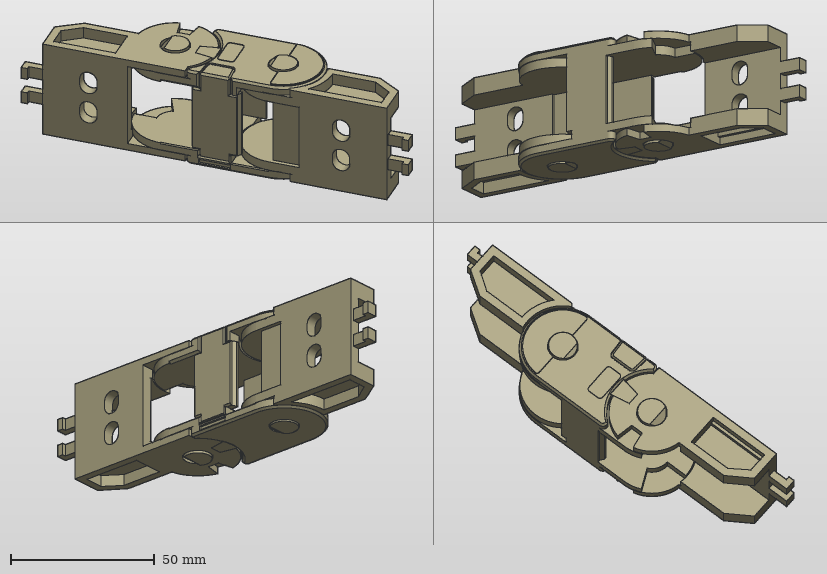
import cadquery as cq
import math

PITCH = 40.0
MID_X = PITCH / 2

LINK_RADIUS = 15.25
BRACKET_RADIUS = 15.0
GAP = 0.5
FIT_RADIUS = LINK_RADIUS + GAP

INNER_Z = 12.3
LOWER_INNER_Z = -12.7
LAP_Z = 15.7
LEFT_TOP_Z = 18.4
RIGHT_TOP_Z = 18.7
LINK_TOP_Z = 18.8
LINK_BOTTOM_Z = -19.2
CUT_Z = 25.0

BRACKET_END = 63.75
WEB_THICKNESS = 4.2
SHOULDER_Y = 3.1
END_CORNER_Y = -2.8
SHOULDER_X = 54.75
POCKET_WALL = 3.0
POCKET_DEPTH = 4.2
POCKET_CORNER_Y = -4.5
POCKET_SHOULDER_X = 54.1
LEFT_POCKET_END = -17.8
LEFT_EAR_CORNER_X = 9.0
LEFT_WINDOW_X = -12.3
RIGHT_RECESS_X = 47.5
RIGHT_RECESS_CORNER = 1.1
WINDOW_START_X = 41.0
WINDOW_END_X = 51.3
WINDOW_RECESS = 1.6
WINDOW_PLATE = 1.5

SLOT_OFFSET_X = 46.8
SLOT_OFFSET_Z = 6.0
SLOT_LENGTH = 8.6
SLOT_WIDTH = 6.4

HOOK_LENGTH = 7.95
HOOK_TIP_LENGTH = 2.35
HOOK_UNDERCUT_Y = -13.6
HOOK_OUTER_Z = 7.2
HOOK_INNER_Z = 2.75

PIN_RADIUS = 5.0
PIN_HOLE_RADIUS = 5.3
LEFT_PIN_TOP_Z = 19.2
RIGHT_PIN_TOP_Z = 19.7
LEFT_RAMP_X = -2.6
RIGHT_RAMP_X = -3.4
LEFT_RAMP_DROP = 2.0
RIGHT_RAMP_DROP = 0.8
STOP_INNER_R = 8.3
STOP_INNER_HALF = 2.3
STOP_OUTER_HALF = 3.7
TONGUE_HUB_RADIUS = 6.9
TONGUE_CUT_START = 115.0
TONGUE_CUT_END = 180.0

LINK_BODY_START_X = 9.3
LINK_CORNER = 1.8
UPPER_INNER_END_X = 28.2
LOWER_INNER_END_X = 26.2
LEAD_IN = 0.9
PLATE_LEAD_IN = 0.4
BAR_THICKNESS = 3.15
BAR_TAPER_OUTER_Y = 14.35
BAR_TAPER_INNER_Y = 13.0
BAR_OUTER_HALF = 8.2
BAR_INNER_HALF = 9.2
LINK_CHAMFER = 0.8
DISC_RADIUS = 14.0
DISC_TOP_Z = 19.2
DISC_CORNER = 1.0
PAD_LENGTH = 11.9
PAD_WIDTH = 6.2
PAD_CORNER = 1.2
PAD_DEPTH = 0.2
PAD_Y = 1.65
GROOVE_DEPTH = 0.8
GROOVE_Z = -17.3
GROOVE_HEIGHT = 1.6
GROOVE_HALF = 5.9

HOOK_TAB_OUTER_HALF = 5.8
HOOK_TAB_INNER_HALF = 5.2
HOOK_TAB_TIP_Y = -7.5
HOOK_TAB_CORNER = 1.6
HOOK_TAB_CHAMFER = 0.8
FOOT_HALF = 5.3
FOOT_END_Z = -15.0
BAR_END_CHAMFER = 0.7


def slab(points, z_start, z_end):
    """Prism with a polygon outline between two heights."""
    return cq.Workplane("XY").workplane(offset=z_start).polyline(points).close().extrude(z_end - z_start)


def box(x, y, z):
    """Box between two limits along each axis."""
    return slab([(x[0], y[0]), (x[1], y[0]), (x[1], y[1]), (x[0], y[1])], z[0], z[1])


def disc(x, radius, z_start, z_end):
    """Upright cylinder about a pivot at the given X."""
    return cq.Workplane("XY").workplane(offset=z_start).center(x, 0).circle(radius).extrude(z_end - z_start)


def both_sides(solid):
    """A solid together with its mirror image below the middle plane."""
    return solid.union(solid.mirror("XY"))


def mirror_x(points):
    """Mirror an outline about the middle of the chain."""
    return [(2 * MID_X - x, y) for x, y in points]


def pin(x, top_z, ramp_x, ramp_drop):
    """Pivot pin on the lapping face, with a ramp on its -X side."""
    ramp = (
        cq.Workplane("XZ", origin=(x, PIN_RADIUS, 0))
        .polyline([(ramp_x, top_z), (-PIN_RADIUS, top_z - ramp_drop), (-PIN_RADIUS, top_z)])
        .close()
        .extrude(2 * PIN_RADIUS)
    )
    return disc(x, PIN_RADIUS, LAP_Z, top_z).cut(ramp)


def stop_wedge(angle):
    """Stop sector on the left pivot's outer ear, at an angle from +X."""
    points = [
        (STOP_INNER_R, -STOP_INNER_HALF),
        (FIT_RADIUS, -STOP_OUTER_HALF),
        (FIT_RADIUS, STOP_OUTER_HALF),
        (STOP_INNER_R, STOP_INNER_HALF),
    ]
    return slab(points, LAP_Z, LEFT_TOP_Z).rotate((0, 0, 0), (0, 0, 1), angle)


END_X = MID_X + BRACKET_END
WEB_TOP_Y = -BRACKET_RADIUS + WEB_THICKNESS


def bracket_outline(inner_x):
    """Right-hand bracket outline, from its end to the given X."""
    return [
        (inner_x, -BRACKET_RADIUS),
        (END_X, -BRACKET_RADIUS),
        (END_X, END_CORNER_Y),
        (MID_X + SHOULDER_X, SHOULDER_Y),
        (inner_x, SHOULDER_Y),
    ]


def pocket_outline(inner_x):
    """Right-hand pocket outline, from its end wall to the given X."""
    floor_y = -BRACKET_RADIUS + POCKET_WALL
    return [
        (inner_x, floor_y),
        (END_X - POCKET_WALL, floor_y),
        (END_X - POCKET_WALL, POCKET_CORNER_Y),
        (MID_X + POCKET_SHOULDER_X, SHOULDER_Y - POCKET_WALL),
        (inner_x, SHOULDER_Y - POCKET_WALL),
    ]


def bolt_slots(x):
    """Pair of upright slots through a bracket web."""
    return (
        cq.Workplane("XZ", origin=(x, WEB_TOP_Y, 0))
        .pushPoints([(0, SLOT_OFFSET_Z), (0, -SLOT_OFFSET_Z)])
        .slot2D(SLOT_LENGTH, SLOT_WIDTH, 90)
        .extrude(WEB_THICKNESS)
    )


def right_hooks():
    """Two hooks standing out of the right bracket's end."""
    tip_x = END_X + HOOK_LENGTH
    points = [
        (END_X, WEB_TOP_Y),
        (tip_x, WEB_TOP_Y),
        (tip_x, -BRACKET_RADIUS),
        (tip_x - HOOK_TIP_LENGTH, -BRACKET_RADIUS),
        (tip_x - HOOK_TIP_LENGTH, HOOK_UNDERCUT_Y),
        (END_X, HOOK_UNDERCUT_Y),
    ]
    return both_sides(slab(points, HOOK_INNER_Z, HOOK_OUTER_Z))


def left_hooks():
    """The right bracket's hooks, mirrored to the left end."""
    return right_hooks().mirror("YZ", (MID_X, 0, 0))


def make_left_bracket():
    arm = slab(mirror_x(bracket_outline(PITCH)), INNER_Z, LEFT_TOP_Z)
    ear = disc(0, BRACKET_RADIUS, LAP_Z, LEFT_TOP_Z)
    foot_reach = math.sqrt(BRACKET_RADIUS**2 - LEFT_EAR_CORNER_X**2)
    ear_foot = box((0, LEFT_EAR_CORNER_X), (-BRACKET_RADIUS, -foot_reach), (LAP_Z, LEFT_TOP_Z))
    side = arm.cut(disc(0, FIT_RADIUS, 0, LAP_Z))
    side = side.cut(box((LEFT_WINDOW_X, PITCH), (-BRACKET_RADIUS, BRACKET_RADIUS), (0, LAP_Z)))
    side = side.union(ear).union(ear_foot)
    pocket = mirror_x(pocket_outline(2 * MID_X - LEFT_POCKET_END))
    side = side.cut(slab(pocket, LEFT_TOP_Z - POCKET_DEPTH, CUT_Z))
    side = side.cut(disc(0, PIN_HOLE_RADIUS, LAP_Z, CUT_Z))
    for angle in (0, 90):
        side = side.cut(stop_wedge(angle))

    web = box((2 * MID_X - END_X, LEFT_WINDOW_X), (-BRACKET_RADIUS, WEB_TOP_Y), (-LAP_Z, LAP_Z))
    return both_sides(side).union(web).cut(bolt_slots(MID_X - SLOT_OFFSET_X)).union(left_hooks())


def right_recess():
    """Clearance for the link's ear, with a rounded mouth at the -Y face."""
    y_start = -BRACKET_RADIUS
    mouth_x = RIGHT_RECESS_X + RIGHT_RECESS_CORNER
    return (
        cq.Workplane("XY", origin=(0, 0, LAP_Z))
        .moveTo(PITCH, 0)
        .lineTo(PITCH, y_start)
        .lineTo(mouth_x, y_start)
        .radiusArc((RIGHT_RECESS_X, y_start + RIGHT_RECESS_CORNER), RIGHT_RECESS_CORNER)
        .lineTo(RIGHT_RECESS_X, 0)
        .close()
        .extrude(CUT_Z - LAP_Z)
    )


def make_right_bracket():
    side = slab(bracket_outline(PITCH), INNER_Z, RIGHT_TOP_Z)
    side = side.union(disc(PITCH, BRACKET_RADIUS, INNER_Z, LAP_Z))
    side = side.cut(disc(PITCH, FIT_RADIUS, LAP_Z, CUT_Z))
    side = side.cut(right_recess())
    pocket = slab(pocket_outline(PITCH), RIGHT_TOP_Z - POCKET_DEPTH, CUT_Z)
    pocket = pocket.cut(disc(PITCH, FIT_RADIUS + POCKET_WALL - GAP, 0, CUT_Z))
    side = side.cut(pocket).union(pin(PITCH, RIGHT_PIN_TOP_Z, RIGHT_RAMP_X, RIGHT_RAMP_DROP))

    web = box((WINDOW_END_X, END_X), (-BRACKET_RADIUS, WEB_TOP_Y), (-INNER_Z, INNER_Z))
    web = web.cut(bolt_slots(MID_X + SLOT_OFFSET_X))
    plate_y = -BRACKET_RADIUS + WINDOW_RECESS
    plate = box((WINDOW_START_X, WINDOW_END_X), (plate_y, plate_y + WINDOW_PLATE), (-INNER_Z, INNER_Z))
    return both_sides(side).union(web).union(plate).union(right_hooks())


BAR_INNER_Y = LINK_RADIUS - BAR_THICKNESS


def cross_bar():
    """Bar between the side plates on the -Y side, narrower towards its outer face."""
    half_outline = [
        (BAR_OUTER_HALF, -LINK_RADIUS),
        (BAR_OUTER_HALF, -BAR_TAPER_OUTER_Y),
        (BAR_INNER_HALF, -BAR_TAPER_INNER_Y),
        (BAR_INNER_HALF, -BAR_INNER_Y),
    ]
    right = [(MID_X + half, y) for half, y in half_outline]
    return slab(right + mirror_x(right)[::-1], LOWER_INNER_Z, INNER_Z)


def hook_tab():
    """Upper end of the crossbar, which hooks over the link's side plate."""
    points = [
        (MID_X - HOOK_TAB_OUTER_HALF, -LINK_RADIUS),
        (MID_X + HOOK_TAB_OUTER_HALF, -LINK_RADIUS),
        (MID_X + HOOK_TAB_INNER_HALF, HOOK_TAB_TIP_Y),
        (MID_X - HOOK_TAB_INNER_HALF, HOOK_TAB_TIP_Y),
    ]
    tab = slab(points, INNER_Z - BAR_END_CHAMFER, LINK_TOP_Z).edges("|Z and >Y").fillet(HOOK_TAB_CORNER)
    return tab.cut(box((0, PITCH), (-BAR_INNER_Y, 0), (0, LAP_Z)))


def foot():
    """Lower end of the crossbar, which rests in the link's side plate."""
    return box(
        (MID_X - FOOT_HALF, MID_X + FOOT_HALF),
        (-LINK_RADIUS, -BAR_INNER_Y),
        (FOOT_END_Z, LOWER_INNER_Z + BAR_END_CHAMFER),
    )


def make_crossbar():
    tab = hook_tab().faces(">Z").edges().chamfer(HOOK_TAB_CHAMFER)
    tab = tab.faces("<Y").edges("|Z").chamfer(HOOK_TAB_CHAMFER)
    bar = cross_bar()
    for end in ("<Z", ">Z"):
        bar = bar.faces(end).edges("<Y").chamfer(BAR_END_CHAMFER)
    return bar.union(tab).union(foot())


def link_tongue(inner_z, end_x):
    """Inner lapping layer of a side plate, reaching around the left pivot."""
    span = box((0, end_x), (-LINK_RADIUS, LINK_RADIUS), (inner_z, LAP_Z))
    tongue = disc(0, LINK_RADIUS, inner_z, LAP_Z).union(span)
    tongue = tongue.cut(disc(PITCH, FIT_RADIUS, inner_z, LAP_Z))
    reach = 2 * LINK_RADIUS
    start = math.radians(TONGUE_CUT_START)
    end = math.radians(TONGUE_CUT_END)
    rim = [(reach * math.cos(a), reach * math.sin(a)) for a in (start, (start + end) / 2, end)]
    cut = slab([(0, 0)] + rim, inner_z, LAP_Z).cut(disc(0, TONGUE_HUB_RADIUS, inner_z, LAP_Z))
    return tongue.cut(cut)


def link_plate(top_z):
    """Outer lapping layer of a side plate, reaching around the right pivot."""
    plate = box((LINK_BODY_START_X, PITCH), (-LINK_RADIUS, LINK_RADIUS), (LAP_Z, top_z))
    plate = plate.edges("|Z and <X").fillet(LINK_CORNER)
    plate = plate.union(disc(PITCH, LINK_RADIUS, LAP_Z, top_z)).cut(disc(0, FIT_RADIUS, LAP_Z, top_z))
    plate = plate.faces(">Z").edges().chamfer(LINK_CHAMFER)
    return plate.cut(disc(PITCH, PIN_HOLE_RADIUS, LAP_Z, CUT_Z))


def half_disc():
    """Thin raised half disc on the right end of the upper side plate."""
    raised = disc(PITCH, DISC_RADIUS, LINK_TOP_Z, DISC_TOP_Z)
    raised = raised.cut(box((0, PITCH), (-LINK_RADIUS, LINK_RADIUS), (LINK_TOP_Z, CUT_Z)))
    raised = raised.edges("|Z").fillet(DISC_CORNER)
    return raised.cut(disc(PITCH, PIN_HOLE_RADIUS, LINK_TOP_Z, CUT_Z))


def link_side(inner_z, top_z, inner_end_x):
    """One side plate with its pin and stop, on the +Z side."""
    side = link_tongue(inner_z, inner_end_x).union(link_plate(top_z))
    return side.union(pin(0, LEFT_PIN_TOP_Z, LEFT_RAMP_X, LEFT_RAMP_DROP)).union(stop_wedge(0))


def lead_in_along_x(x_start, x_end, edge_z, size):
    """Chamfer cut along an edge of the -Y face; a negative size widens towards -Z."""
    points = [(-LINK_RADIUS, edge_z), (-LINK_RADIUS, edge_z + size), (-LINK_RADIUS + abs(size), edge_z)]
    return cq.Workplane("YZ", origin=(x_start, 0, 0)).polyline(points).close().extrude(x_end - x_start)


def lead_in_along_z(edge_x, size, z_start, z_end):
    """Chamfer cut along an upright edge of the -Y face; a negative size widens towards -X."""
    points = [(edge_x, -LINK_RADIUS), (edge_x + size, -LINK_RADIUS), (edge_x, -LINK_RADIUS + abs(size))]
    return slab(points, z_start, z_end)


def lead_ins():
    """Chamfer cuts around the crossbar's seat in the -Y face."""
    tab_left = MID_X - HOOK_TAB_OUTER_HALF
    tab_right = MID_X + HOOK_TAB_OUTER_HALF
    foot_left = MID_X - FOOT_HALF
    foot_right = MID_X + FOOT_HALF
    return [
        lead_in_along_x(0, tab_left, INNER_Z, LEAD_IN),
        lead_in_along_z(tab_left, -LEAD_IN, INNER_Z, LINK_TOP_Z),
        lead_in_along_z(tab_right, LEAD_IN, INNER_Z, LINK_TOP_Z),
        lead_in_along_x(0, foot_left, LOWER_INNER_Z, -PLATE_LEAD_IN),
        lead_in_along_z(foot_left, -LEAD_IN, FOOT_END_Z, LOWER_INNER_Z),
        lead_in_along_x(foot_left - LEAD_IN, foot_right, FOOT_END_Z, -LEAD_IN),
        lead_in_along_x(foot_right, PITCH, -LAP_Z, -PLATE_LEAD_IN),
    ]


def make_link():
    upper = link_side(INNER_Z, LINK_TOP_Z, UPPER_INNER_END_X).union(half_disc())
    lower = link_side(-LOWER_INNER_Z, -LINK_BOTTOM_Z, LOWER_INNER_END_X).mirror("XY")
    bar = cross_bar().mirror("XZ")
    pad = (
        cq.Workplane("XY", origin=(MID_X, PAD_Y, LINK_TOP_Z - PAD_DEPTH))
        .rect(PAD_WIDTH, PAD_LENGTH)
        .extrude(CUT_Z)
        .edges("|Z")
        .fillet(PAD_CORNER)
    )
    groove = box(
        (MID_X - GROOVE_HALF, MID_X + GROOVE_HALF),
        (-LINK_RADIUS, -LINK_RADIUS + GROOVE_DEPTH),
        (GROOVE_Z - GROOVE_HEIGHT / 2, GROOVE_Z + GROOVE_HEIGHT / 2),
    )
    link = upper.union(lower).union(bar)
    link = link.cut(pad).cut(groove).cut(hook_tab()).cut(foot())
    for lead_in in lead_ins():
        link = link.cut(lead_in)
    return link


left_bracket = make_left_bracket()
right_bracket = make_right_bracket()
link = make_link()
crossbar = make_crossbar()

bodies = [left_bracket, right_bracket, link, crossbar]
result = cq.Compound.makeCompound([body.solids().val() for body in bodies])